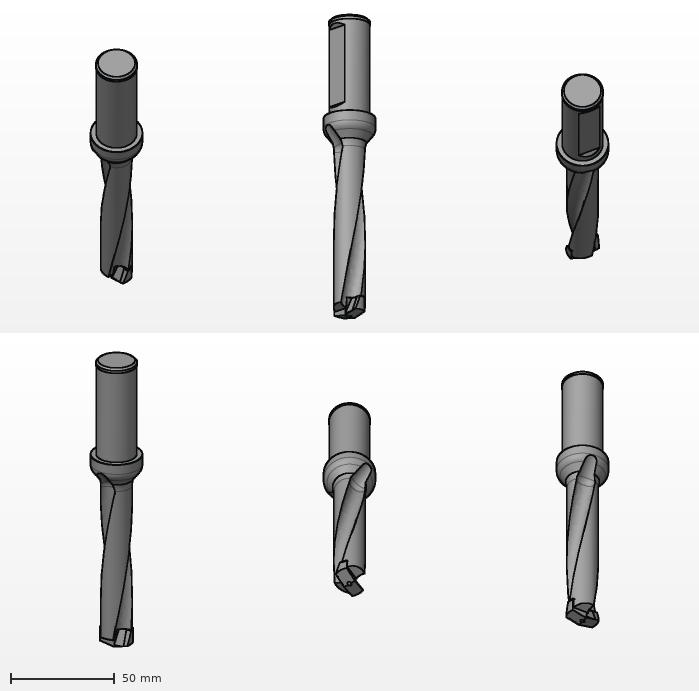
import cadquery as cq
import math

TOTAL_LENGTH = 151.0

SHANK_RADIUS = 20.0 / 2
SHANK_CHAMFER = 1.0
BAND_DEPTH = 2.4
BAND_RELIEF = 0.2
FLAT_OFFSET = 8.2
FLAT_TOP_Z = 145.5
FLAT_BOTTOM_Z = 106.5

COLLAR_RADIUS = 25.0 / 2
COLLAR_TOP_Z = 101.3
COLLAR_BOTTOM_Z = 96.3
COLLAR_CHAMFER = 0.2
NECK_SHOULDER_RADIUS = 11.0
NECK_SHOULDER_Z = 92.4
NECK_WAIST_RADIUS = 8.2
NECK_WAIST_Z = 88.6
STEM_RADIUS = 15.3 / 2
COLLAR_ARC_BEND = 0.5
NECK_ARC_BEND = 0.2
STEM_TOP_Z = 85.0

STEM_END_OUTER_Z = 5.9
STEM_END_INNER_Z = 4.0

INSERT_RADIUS = 8.0
INSERT_THICKNESS = 6.3
INSERT_TOP_Z = 9.4
INSERT_CORNER_Z = 2.3
INSERT_RIDGE_Z = 0.5
TIP_RADIUS = 3.5 / 2
TIP_BASE_Z = 1.0
GULLET_TOP_X = 1.7
GULLET_LOW_X = 0.5
GULLET_TOP_DEPTH = 3.0
GULLET_LOW_DEPTH = 0.3
CUTTING_LAND_X = 5.5
CUTTING_LAND_RAISE = 0.2

FLUTE_COUNT = 2
FLUTE_RADIUS = 4.8
FLUTE_CENTER_RADIUS = 7.5
FLUTE_TOP_Z = 84.5
FLUTE_TOP_ANGLE = 254.0
TWIST_RATE = 1.43
RUNOUT_TILT = 48.0
RUNOUT_TURN = 12.0
RUNOUT_LENGTH = 30.2

MARGIN = 1.5


def make_blank():
    """Turned blank of the shank, collar, neck and stem."""
    lower_radius = SHANK_RADIUS - BAND_RELIEF
    collar_arc_mid = (
        (COLLAR_RADIUS + NECK_SHOULDER_RADIUS) / 2 + COLLAR_ARC_BEND,
        (COLLAR_BOTTOM_Z + NECK_SHOULDER_Z) / 2 - COLLAR_ARC_BEND / 2,
    )
    neck_arc_mid = (
        (NECK_WAIST_RADIUS + STEM_RADIUS) / 2 - NECK_ARC_BEND,
        (NECK_WAIST_Z + STEM_TOP_Z) / 2,
    )
    profile = (
        cq.Workplane("XZ")
        .moveTo(0, 0)
        .lineTo(STEM_RADIUS, 0)
        .lineTo(STEM_RADIUS, STEM_TOP_Z)
        .threePointArc(neck_arc_mid, (NECK_WAIST_RADIUS, NECK_WAIST_Z))
        .lineTo(NECK_SHOULDER_RADIUS, NECK_SHOULDER_Z)
        .threePointArc(collar_arc_mid, (COLLAR_RADIUS, COLLAR_BOTTOM_Z))
        .lineTo(COLLAR_RADIUS, COLLAR_TOP_Z - COLLAR_CHAMFER)
        .lineTo(COLLAR_RADIUS - COLLAR_CHAMFER, COLLAR_TOP_Z)
        .lineTo(lower_radius, COLLAR_TOP_Z)
        .lineTo(lower_radius, TOTAL_LENGTH - BAND_DEPTH)
        .lineTo(SHANK_RADIUS, TOTAL_LENGTH - BAND_DEPTH)
        .lineTo(SHANK_RADIUS, TOTAL_LENGTH - SHANK_CHAMFER)
        .lineTo(SHANK_RADIUS - SHANK_CHAMFER, TOTAL_LENGTH)
        .lineTo(0, TOTAL_LENGTH)
        .close()
    )
    return profile.revolve(360, (0, 0, 0), (0, 1, 0))


def make_flat_cutter():
    """Clamping flat across the shank, with 45 degree ends."""
    outer_y = SHANK_RADIUS + MARGIN
    rise = outer_y - FLAT_OFFSET
    return (
        cq.Workplane("YZ")
        .moveTo(FLAT_OFFSET, FLAT_BOTTOM_Z)
        .lineTo(FLAT_OFFSET, FLAT_TOP_Z)
        .lineTo(outer_y, FLAT_TOP_Z + rise)
        .lineTo(outer_y, FLAT_BOTTOM_Z - rise)
        .close()
        .extrude(SHANK_RADIUS + MARGIN, both=True)
    )


def make_flute_cutter(index):
    """One helical round groove, leaning outwards through the neck at its top."""
    start_z = -MARGIN
    height = FLUTE_TOP_Z - start_z
    twist = TWIST_RATE * height
    turn = FLUTE_TOP_ANGLE + index * 360 / FLUTE_COUNT
    helix = (
        cq.Workplane("XY")
        .pushPoints([(FLUTE_CENTER_RADIUS, 0)])
        .circle(FLUTE_RADIUS)
        .twistExtrude(height, twist)
        .rotate((0, 0, 0), (0, 0, 1), turn - twist)
        .translate((0, 0, start_z))
    )
    return helix, make_runout(turn)


def make_runout(turn):
    """Ball-ended cylinder that carries a flute out of the neck."""
    lean = math.radians(RUNOUT_TILT)
    elbow = cq.Vector(FLUTE_CENTER_RADIUS, 0, FLUTE_TOP_Z)
    swing = math.radians(RUNOUT_TURN)
    direction = cq.Vector(
        math.sin(lean) * math.cos(swing),
        math.sin(lean) * math.sin(swing),
        math.cos(lean),
    )
    cylinder = cq.Solid.makeCylinder(FLUTE_RADIUS, RUNOUT_LENGTH, elbow, direction)
    ball = cq.Workplane("XY").sphere(FLUTE_RADIUS).translate(elbow)
    return ball.union(cq.Workplane(cylinder)).rotate((0, 0, 0), (0, 0, 1), turn)


def cut_flutes(body):
    for index in range(FLUTE_COUNT):
        for cutter in make_flute_cutter(index):
            body = body.cut(cutter)
    return body


def make_stem_end_cutter():
    """Material below the two sloping planes of the stem end."""
    half_slot = INSERT_THICKNESS / 2
    slope = (STEM_END_OUTER_Z - STEM_END_INNER_Z) / (STEM_RADIUS - half_slot)
    outer_y = STEM_RADIUS + MARGIN
    outer_z = STEM_END_OUTER_Z + slope * MARGIN
    return (
        cq.Workplane("YZ")
        .polyline([
            (-outer_y, -MARGIN),
            (outer_y, -MARGIN),
            (outer_y, outer_z),
            (half_slot, STEM_END_INNER_Z),
            (-half_slot, STEM_END_INNER_Z),
            (-outer_y, outer_z),
        ])
        .close()
        .extrude(STEM_RADIUS + MARGIN, both=True)
    )


def make_insert_slot():
    """Slot across the stem end that seats the insert."""
    return cq.Workplane("XY").workplane(offset=-MARGIN).rect(
        2 * (STEM_RADIUS + MARGIN), INSERT_THICKNESS
    ).extrude(INSERT_TOP_Z + MARGIN)


def make_holder():
    body = make_blank().cut(make_flat_cutter())
    body = body.cut(make_stem_end_cutter()).cut(make_insert_slot())
    return cut_flutes(body)


def make_gullet_wedge(raise_from_floor):
    """Wedge above the insert's sloping gullet floor, on the -Y face."""
    face_y = -INSERT_THICKNESS / 2
    slope = (GULLET_TOP_DEPTH - GULLET_LOW_DEPTH) / (INSERT_TOP_Z - INSERT_CORNER_Z)
    low_depth = GULLET_LOW_DEPTH - raise_from_floor
    return (
        cq.Workplane("YZ")
        .polyline([
            (face_y, INSERT_CORNER_Z - low_depth / slope),
            (face_y + GULLET_TOP_DEPTH - raise_from_floor, INSERT_TOP_Z),
            (face_y, INSERT_TOP_Z),
        ])
        .close()
        .extrude(INSERT_RADIUS + MARGIN)
    )


def make_gullet_cutter():
    """Gullet with a slanted inner edge and a raised land at its outer end."""
    outer_x = INSERT_RADIUS + MARGIN
    edge_slope = (GULLET_TOP_X - GULLET_LOW_X) / (INSERT_TOP_Z - INSERT_CORNER_Z)
    bottom_x = GULLET_LOW_X - edge_slope * INSERT_CORNER_Z
    inner_area = (
        cq.Workplane("XZ")
        .polyline([
            (bottom_x, 0),
            (CUTTING_LAND_X, 0),
            (CUTTING_LAND_X, INSERT_TOP_Z),
            (GULLET_TOP_X, INSERT_TOP_Z),
        ])
        .close()
        .extrude(INSERT_THICKNESS, both=True)
    )
    outer_area = (
        cq.Workplane("XZ")
        .moveTo(CUTTING_LAND_X, 0)
        .lineTo(outer_x, 0)
        .lineTo(outer_x, INSERT_TOP_Z)
        .lineTo(CUTTING_LAND_X, INSERT_TOP_Z)
        .close()
        .extrude(INSERT_THICKNESS, both=True)
    )
    inner = make_gullet_wedge(0).intersect(inner_area)
    outer = make_gullet_wedge(CUTTING_LAND_RAISE).intersect(outer_area)
    return inner.union(outer)


def make_insert():
    """Plate with a pointed lower edge, round ends and a conical tip."""
    plate = (
        cq.Workplane("XZ")
        .polyline([
            (0, INSERT_RIDGE_Z),
            (INSERT_RADIUS, INSERT_CORNER_Z),
            (INSERT_RADIUS, INSERT_TOP_Z),
            (-INSERT_RADIUS, INSERT_TOP_Z),
            (-INSERT_RADIUS, INSERT_CORNER_Z),
        ])
        .close()
        .extrude(INSERT_THICKNESS / 2, both=True)
    )
    plate = plate.intersect(cq.Workplane("XY").circle(INSERT_RADIUS).extrude(INSERT_TOP_Z))
    gullet = make_gullet_cutter()
    for index in range(FLUTE_COUNT):
        plate = plate.cut(gullet.rotate((0, 0, 0), (0, 0, 1), index * 360 / FLUTE_COUNT))
    tip = cq.Workplane(cq.Solid.makeCone(0, TIP_RADIUS, TIP_BASE_Z))
    return plate.union(tip)


holder = make_holder()
insert = make_insert()
result = cq.Compound.makeCompound([holder.val(), insert.val()])